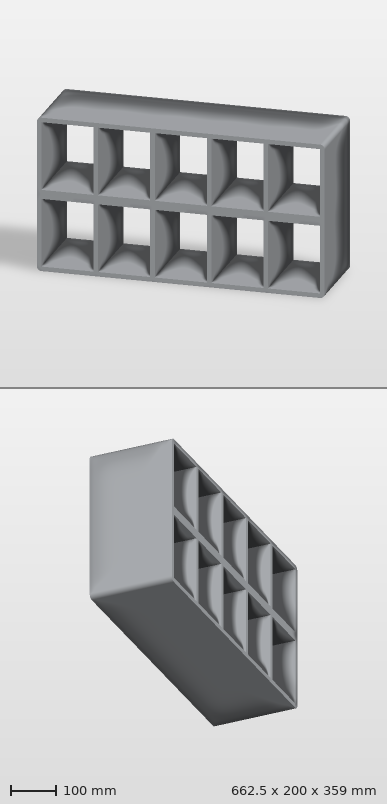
import cadquery as cq

width = 662.5
depth = 200.0
height = 359.0
corner_radius = 10.5

columns = 5
rows = 2
wall = 10.5
middle_shelf = 2 * wall
cell_width = (width - (columns + 1) * wall) / columns
cell_height = (height - 2 * wall - middle_shelf) / rows

block = cq.Workplane("XY").box(width, depth, height).edges("|Y").fillet(corner_radius)

openings = (
    cq.Workplane("XZ")
    .rarray(cell_width + wall, cell_height + middle_shelf, columns, rows)
    .rect(cell_width, cell_height)
    .extrude(depth, both=True)
)

result = block.cut(openings)